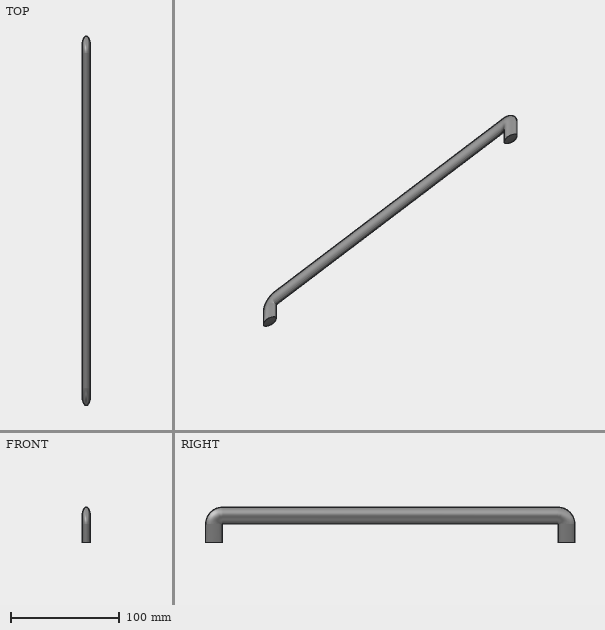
import cadquery as cq
import math

length = 342.0
width = 8.0
height = 33.0

depth = 15.7
edge_radius = 2.0

inner_bend_radius = 0.5

half_width = width / 2
half_depth = depth / 2
edge_center = half_depth - edge_radius
side_radius = (edge_center**2 + half_width**2 - edge_radius**2) / (2 * (half_width - edge_radius))
side_center = side_radius - half_width
tangent_angle = math.atan2(edge_center, side_center)
tangent_x = edge_radius * math.cos(tangent_angle)
tangent_y = edge_center + edge_radius * math.sin(tangent_angle)

bend_radius = inner_bend_radius + half_depth
leg_height = height - half_depth - bend_radius
leg_center = length / 2 - half_depth
grip_length = 2 * (leg_center - bend_radius)


def oval(plane):
    """Oval section with its depth along the plane's second axis."""
    return (
        cq.Workplane(plane)
        .moveTo(-tangent_x, tangent_y)
        .threePointArc((0, half_depth), (tangent_x, tangent_y))
        .threePointArc((half_width, 0), (tangent_x, -tangent_y))
        .threePointArc((0, -half_depth), (-tangent_x, -tangent_y))
        .threePointArc((-half_width, 0), (-tangent_x, tangent_y))
        .close()
    )


def make_grip():
    """Straight bar between the two bends."""
    start = (0, grip_length / 2, height - half_depth)
    return oval(cq.Plane(origin=start, xDir=(1, 0, 0), normal=(0, -1, 0))).extrude(grip_length)


def make_end():
    """Leg on the +Y end with the quarter bend above it."""
    leg = oval(cq.Plane(origin=(0, leg_center, 0))).extrude(leg_height)
    bend_start = cq.Plane(origin=(0, leg_center, leg_height))
    bend = oval(bend_start).revolve(90, (0, -bend_radius), (1, -bend_radius))
    return leg.union(bend)


end = make_end()
result = make_grip().union(end).union(end.mirror("XZ"))